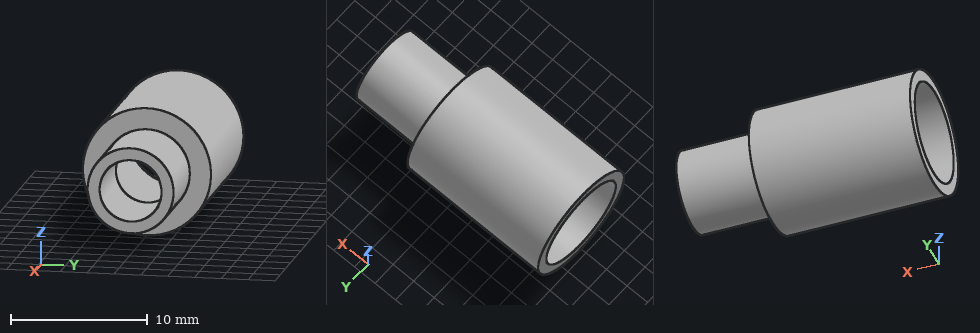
import cadquery as cq
import math

total_length = 19.05
body_length = 12.7
body_diameter = 9.56
neck_diameter = 6.4

wide_bore_diameter = 7.72
narrow_bore_diameter = 4.61
cone_half_angle = 67.5
cone_length = (wide_bore_diameter - narrow_bore_diameter) / 2 / math.tan(math.radians(cone_half_angle))
cone_end = body_length
cone_start = cone_end - cone_length

half_section = [
    (0, wide_bore_diameter / 2),
    (0, body_diameter / 2),
    (body_length, body_diameter / 2),
    (body_length, neck_diameter / 2),
    (total_length, neck_diameter / 2),
    (total_length, narrow_bore_diameter / 2),
    (cone_end, narrow_bore_diameter / 2),
    (cone_start, wide_bore_diameter / 2),
]

result = (
    cq.Workplane("XY")
    .polyline(half_section)
    .close()
    .revolve(360, (0, 0, 0), (1, 0, 0))
)